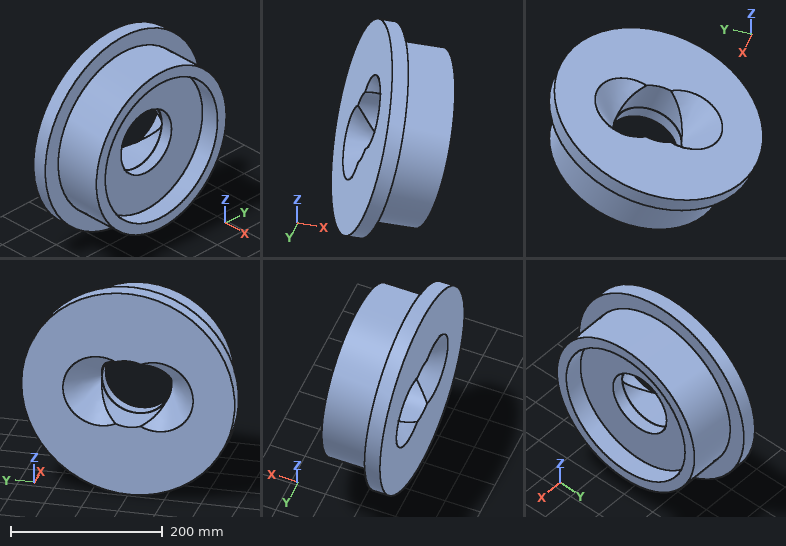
import cadquery as cq

flange_radius = 145.0
flange_thickness = 22.0
hub_radius = 121.0
total_length = 93.0

bore_radius = 47.5
bore_depth = 46.5
throat_radius = 47.0
web_thickness = 65.0

recess_radius = 104.5

pocket_offset = 39.0
pocket_radius = 49.5
pocket_tip_depth = 56.5


def disc(radius, start, end):
    """Solid cylinder along X between two X positions."""
    return cq.Workplane("YZ", origin=(start, 0, 0)).circle(radius).extrude(end - start)


def conical_pocket(y_center):
    """Cone with its base on the flange face and its tip inside the part."""
    base = cq.Vector(0, y_center, 0)
    along_x = cq.Vector(1, 0, 0)
    return cq.Workplane(cq.Solid.makeCone(pocket_radius, 0, pocket_tip_depth, base, along_x))


result = disc(flange_radius, 0, flange_thickness)
result = result.union(disc(hub_radius, 0, total_length))

result = result.cut(disc(bore_radius, 0, bore_depth))
result = result.cut(disc(throat_radius, bore_depth, web_thickness))
result = result.cut(disc(recess_radius, web_thickness, total_length))

for side in (-1, 1):
    result = result.cut(conical_pocket(side * pocket_offset))